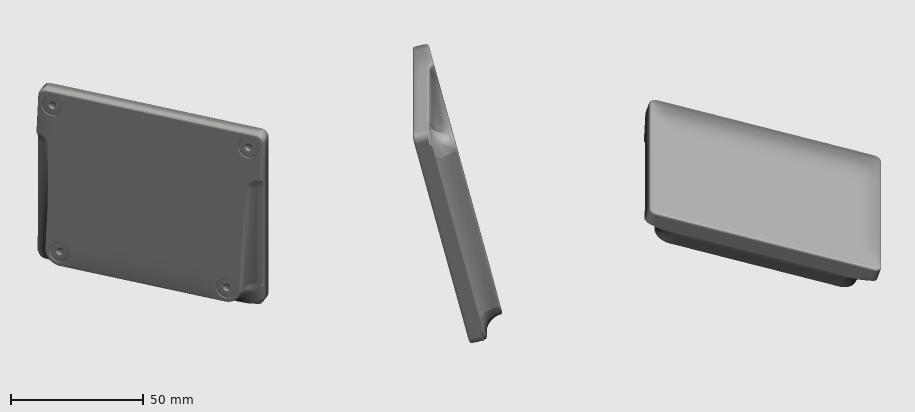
import cadquery as cq
import math

width = 92.0
height = 76.0
corner_radius = 3.0
edge_radius = 0.9

top_thickness = 6.0
tilt = 7.0
slope = math.tan(math.radians(tilt))

seat_diameter = 8.5
seat_depth = 0.5
hole_diameter = 3.0
hole_depth = 3.7
top_hole_inset = 6.0
low_hole_inset = 12.0
low_hole_z = 10.1
low_hole_x = width / 2 - low_hole_inset

wall_radius = 6.0
scoop_radius = low_hole_inset - edge_radius - wall_radius
scoop_floor = 6.6
scoop_axis_y = -(scoop_floor + scoop_radius)
scoop_top_z = 53.45

base_floor = 6.35
base_arc_z = 2.3
base_arc_depth = 9.4
base_wall_y = -15.1

cutter_outer = low_hole_inset + 9.2
cutter_front = -18.4


def front_y(z):
    """Y of the leaning front face at height z."""
    return -(top_thickness + slope * (height - z))


def leaning_block():
    """Block with a leaning front face and rounded upright corners."""
    block = (
        cq.Workplane("YZ")
        .polyline([(0, 0), (front_y(0), 0), (front_y(height), height), (0, height)])
        .close()
        .extrude(width / 2, both=True)
    )
    return block.edges("|Y").fillet(corner_radius)


def hollow_section(angle, front=cutter_front):
    """Hollow profile in the plane turned by angle about the left low hole axis.

    0 degrees is the left side and 90 degrees is the base. In the plane, x runs
    outward from the hole axis and y is the part's Y. The profile reaches forward
    to Y = front.
    """
    share = angle / 90.0

    def blend(side_value, base_value):
        return side_value + share * (base_value - side_value)

    turn = math.radians(angle)
    outward = (-math.cos(turn), 0, -math.sin(turn))
    plane = cq.Plane(
        origin=(-low_hole_x, 0, low_hole_z),
        xDir=outward,
        normal=(math.sin(turn), 0, -math.cos(turn)),
    )
    half_round = math.sqrt(0.5)
    if math.tan(turn) < low_hole_z / low_hole_inset:
        reach = low_hole_inset / math.cos(turn)
    else:
        reach = low_hole_z / math.sin(turn)
    floor_end = reach - edge_radius * (1 - share**2)
    floor_y = -blend(scoop_floor, base_floor)
    side_bulge = 1 - half_round
    base_bulge = (low_hole_z - base_arc_z - wall_radius) / (low_hole_z - wall_radius)
    arc_x = wall_radius + (floor_end - wall_radius) * blend(side_bulge, base_bulge)
    arc_y = blend(scoop_axis_y + scoop_radius * half_round, -base_arc_depth)
    rim_mid = (floor_end + edge_radius * half_round, floor_y + edge_radius * (1 - half_round))
    rim_end = (floor_end + edge_radius, floor_y + edge_radius)
    return (
        cq.Workplane(plane)
        .moveTo(wall_radius, blend(scoop_axis_y, base_wall_y))
        .threePointArc((arc_x, arc_y), (floor_end, floor_y))
        .threePointArc(rim_mid, rim_end)
        .lineTo(cutter_outer, rim_end[1])
        .lineTo(cutter_outer, front)
        .lineTo(wall_radius, front)
        .close()
    )


def left_hollow():
    """Cutters for the left side, its rounded top end, the low corner and the left half of the base."""
    side_length = scoop_top_z - low_hole_z
    side = hollow_section(0).extrude(-side_length)
    nose_axis = [(0, scoop_axis_y), (1, scoop_axis_y)]
    nose = hollow_section(0, scoop_axis_y).revolve(360, *nose_axis).translate((0, 0, side_length))
    wires = [hollow_section(angle).wire().val() for angle in (0, 30, 60, 90)]
    corner = cq.Workplane(cq.Solid.makeLoft(wires))
    base = hollow_section(90).extrude(low_hole_x)
    return side, nose, corner, base


def mirrored_cut(body, cutter):
    """Cut on the left and, mirrored, on the right."""
    return body.cut(cutter).cut(cutter.mirror("YZ"))


def lies_on_front(edge):
    """True if the whole edge lies on the leaning front face."""
    samples = [edge.positionAt(t) for t in (0, 0.3, 0.7, 1)]
    return all(abs(p.y - front_y(p.z)) < 0.01 for p in samples)


def foot_recess(x, z):
    """Seat parallel to the leaning front face, with a screw hole running straight back."""
    lean = math.radians(tilt)
    centre = cq.Vector(x, front_y(z), z)
    inward = cq.Vector(0, math.cos(lean), -math.sin(lean))
    seat = cq.Solid.makeCylinder(seat_diameter / 2, seat_depth, centre, inward)
    hole = cq.Solid.makeCylinder(hole_diameter / 2, hole_depth, centre, cq.Vector(0, 1, 0))
    return cq.Workplane(seat).union(cq.Workplane(hole))


body = leaning_block()
for hollow in left_hollow():
    body = mirrored_cut(body, hollow)

front_edges = [edge for edge in body.edges().vals() if lies_on_front(edge)]
body = body.newObject(front_edges).fillet(edge_radius)
body = body.faces(">Y").edges().fillet(edge_radius)

top_hole = (top_hole_inset - width / 2, height - top_hole_inset)
low_hole = (-low_hole_x, low_hole_z)
for x, z in (top_hole, low_hole):
    body = mirrored_cut(body, foot_recess(x, z))

result = body